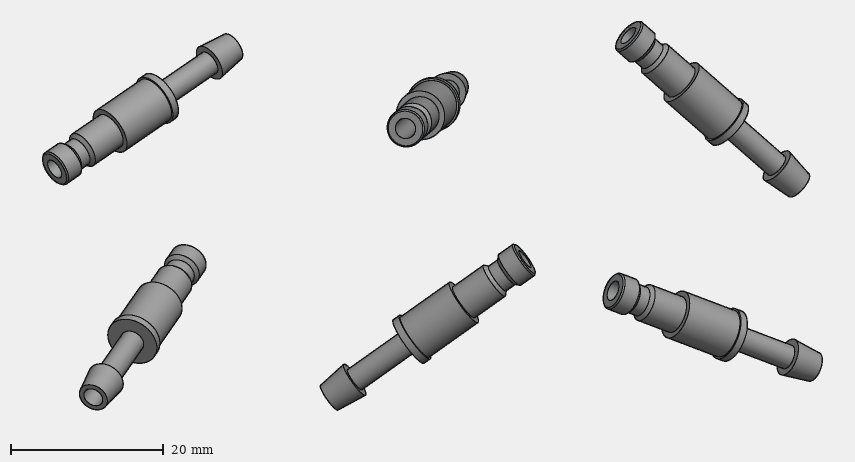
import cadquery as cq

length = 32.0
bore_diameter = 2.7

plug_diameter = 5.0
plug_length = 10.0
tip_chamfer = 0.2
groove_diameter = 4.0
groove_front = 2.5
groove_back = 5.0

body_diameter = 6.5
body_length = 8.0
flange_diameter = 7.0
flange_thickness = 1.02

stem_diameter = 3.25
barb_length = 4.15
barb_base_diameter = 5.0
barb_tip_diameter = 4.0

plug_radius = plug_diameter / 2
groove_radius = groove_diameter / 2
groove_depth = plug_radius - groove_radius
body_end = plug_length + body_length
flange_end = body_end + flange_thickness
barb_start = length - barb_length


def revolved_fitting():
    """Revolve the half profile (radius, Y station) about the Y axis."""
    profile = [
        (bore_diameter / 2, 0),
        (plug_radius - tip_chamfer, 0),
        (plug_radius, tip_chamfer),
        (plug_radius, groove_front),
        (groove_radius, groove_front + groove_depth),
        (groove_radius, groove_back - groove_depth),
        (plug_radius, groove_back),
        (plug_radius, plug_length),
        (body_diameter / 2, plug_length),
        (body_diameter / 2, body_end),
        (flange_diameter / 2, body_end),
        (flange_diameter / 2, flange_end),
        (stem_diameter / 2, flange_end),
        (stem_diameter / 2, barb_start),
        (barb_base_diameter / 2, barb_start),
        (barb_tip_diameter / 2, length),
        (bore_diameter / 2, length),
    ]
    return cq.Workplane("XY").polyline(profile).close().revolve(360, (0, 0), (0, 1))


result = revolved_fitting()